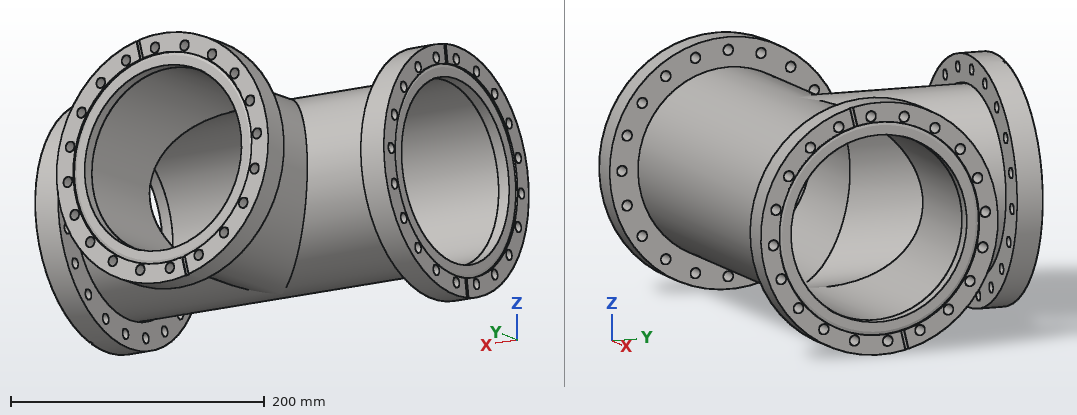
import cadquery as cq


overall_length = 333.5
port_reach = overall_length / 2

pipe_radius = 77.0
bore_radius = 75.0
pipe_end_depth = 11.0

flange_radius = 202.5 / 2
flange_thickness = 22.0

bolt_count = 20
bolt_circle_radius = 90.7
bolt_hole_diameter = 8.5
bolt_pitch = 360 / bolt_count
ring_turn = bolt_pitch / 4

recess_radius = 85.5
recess_depth = 1.7
knife_radius = 82.7
knife_depth = 1.0

groove_width = 2.7
groove_depth = 1.0
groove_angle = bolt_pitch / 2

ring_bore_radius = 78.0
shoulder_depth = 14.7


def revolved(profile):
    """Solid of revolution about Z from (radius, height) points."""
    return cq.Workplane("XZ").polyline(profile).close().revolve(360, (0, 0, 0), (0, 1, 0))


def cut_bolt_holes(flange):
    """Drill the bolt circle, with the first hole on +X."""
    holes = (
        cq.Workplane("XY")
        .polarArray(bolt_circle_radius, 0, 360, bolt_count)
        .circle(bolt_hole_diameter / 2)
        .extrude(-flange_thickness)
    )
    return flange.cut(holes)


def cut_leak_grooves(flange):
    """Cut two opposite radial grooves from the recess to the rim."""
    grooves = (
        cq.Workplane("XY")
        .rect(2 * flange_radius, groove_width)
        .extrude(-groove_depth)
        .cut(cq.Workplane("XY").circle(recess_radius).extrude(-groove_depth))
        .rotate((0, 0, 0), (0, 0, 1), groove_angle)
    )
    return flange.cut(grooves)


def make_fixed_flange():
    """One-piece flange with the pipe seated in its back."""
    profile = [
        (bore_radius, -knife_depth),
        (knife_radius, -knife_depth),
        (recess_radius, -recess_depth),
        (recess_radius, 0),
        (flange_radius, 0),
        (flange_radius, -flange_thickness),
        (pipe_radius, -flange_thickness),
        (pipe_radius, -pipe_end_depth),
        (bore_radius, -pipe_end_depth),
    ]
    return cut_leak_grooves(cut_bolt_holes(revolved(profile)))


def make_bolt_ring():
    """Outer ring of a rotatable flange, turned from the fixed hole pattern."""
    profile = [
        (recess_radius, 0),
        (flange_radius, 0),
        (flange_radius, -flange_thickness),
        (ring_bore_radius, -flange_thickness),
        (ring_bore_radius, -shoulder_depth),
        (recess_radius, -shoulder_depth),
    ]
    ring = cut_leak_grooves(cut_bolt_holes(revolved(profile)))
    return ring.rotate((0, 0, 0), (0, 0, 1), ring_turn)


def make_weld_insert():
    """Knife-edge insert that holds the pipe end and bears on the ring shoulder."""
    profile = [
        (bore_radius, -knife_depth),
        (knife_radius, -knife_depth),
        (recess_radius, -recess_depth),
        (recess_radius, -shoulder_depth),
        (pipe_radius, -shoulder_depth),
        (pipe_radius, -pipe_end_depth),
        (bore_radius, -pipe_end_depth),
    ]
    return revolved(profile)


def make_tee_rods(radius):
    """Solid run along X joined to a solid branch along +Y."""
    pipe_reach = port_reach - pipe_end_depth
    run = cq.Workplane("YZ").circle(radius).extrude(pipe_reach, both=True)
    branch = cq.Workplane("XZ").circle(radius).extrude(-pipe_reach)
    return run.union(branch)


def at_port(body, direction):
    """Move a flange part so that its sealing face looks along direction."""
    port = cq.Plane(
        origin=(cq.Vector(*direction) * port_reach).toTuple(),
        xDir=(0, 0, 1),
        normal=direction,
    )
    return body.val().moved(port.location)


tee_pipe = make_tee_rods(pipe_radius).cut(make_tee_rods(bore_radius))
fixed_flange = at_port(make_fixed_flange(), (-1, 0, 0))

bolt_rings = []
weld_inserts = []
for direction in [(1, 0, 0), (0, 1, 0)]:
    bolt_rings.append(at_port(make_bolt_ring(), direction))
    weld_inserts.append(at_port(make_weld_insert(), direction))

result = cq.Compound.makeCompound([tee_pipe.val(), fixed_flange, *bolt_rings, *weld_inserts])